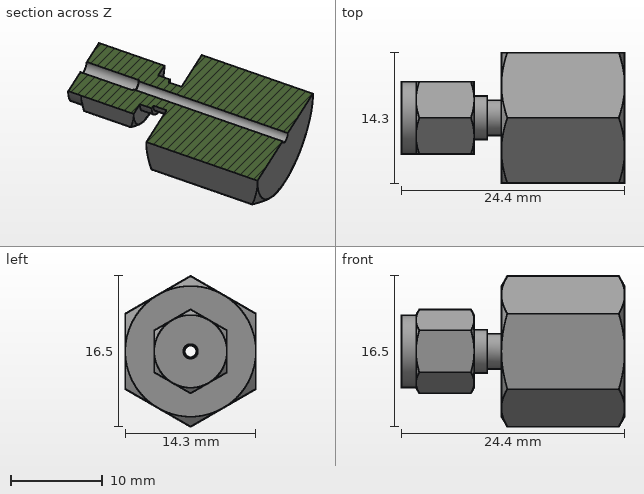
import cadquery as cq
import math


nut_across_flats = 7.94
collar_diameter = nut_across_flats
collar_length = 1.59
nut_hex_length = 6.35

shoulder_diameter = 4.78
shoulder_length = 1.44
neck_diameter = 3.9
neck_length = 1.54

overall_length = 24.38
body_across_flats = 14.28

tube_bore_diameter = 1.59
tube_bore_depth = 6.35
through_bore_diameter = 1.27

hex_sides = 6
quarter_turn = 90
chamfer_angle = 30

nut_hex_start = collar_length
shoulder_start = nut_hex_start + nut_hex_length
neck_start = shoulder_start + shoulder_length
body_start = neck_start + neck_length
body_length = overall_length - body_start


def cylinder(start, length, diameter):
    """Cylinder on the X axis, running from start in +X."""
    return cq.Workplane("YZ", origin=(start, 0, 0)).circle(diameter / 2).extrude(length)


def chamfered_hex(start, length, across_flats):
    """Hexagonal bar with corners up and down along Z and both ends chamfered by cones."""
    flat_radius = across_flats / 2
    corner_radius = flat_radius / math.cos(math.pi / hex_sides)
    chamfer_length = (corner_radius - flat_radius) * math.tan(math.radians(chamfer_angle))
    end = start + length

    prism = (
        cq.Workplane("YZ", origin=(start, 0, 0))
        .transformed(rotate=(0, 0, quarter_turn))
        .polygon(hex_sides, 2 * corner_radius)
        .extrude(length)
    )
    envelope = (
        cq.Workplane("XY")
        .moveTo(start, 0)
        .lineTo(start, flat_radius)
        .lineTo(start + chamfer_length, corner_radius)
        .lineTo(end - chamfer_length, corner_radius)
        .lineTo(end, flat_radius)
        .lineTo(end, 0)
        .close()
        .revolve(360, (0, 0, 0), (1, 0, 0))
    )
    return prism.intersect(envelope)


collar = cylinder(0, collar_length, collar_diameter)
nut_hex = chamfered_hex(nut_hex_start, nut_hex_length, nut_across_flats)
shoulder = cylinder(shoulder_start, shoulder_length, shoulder_diameter)
neck = cylinder(neck_start, neck_length, neck_diameter)
body_hex = chamfered_hex(body_start, body_length, body_across_flats)

tube_bore = cylinder(0, tube_bore_depth, tube_bore_diameter)
through_bore = cylinder(0, overall_length, through_bore_diameter)

solid_fitting = collar.union(nut_hex).union(shoulder).union(neck).union(body_hex)
result = solid_fitting.cut(tube_bore).cut(through_bore)